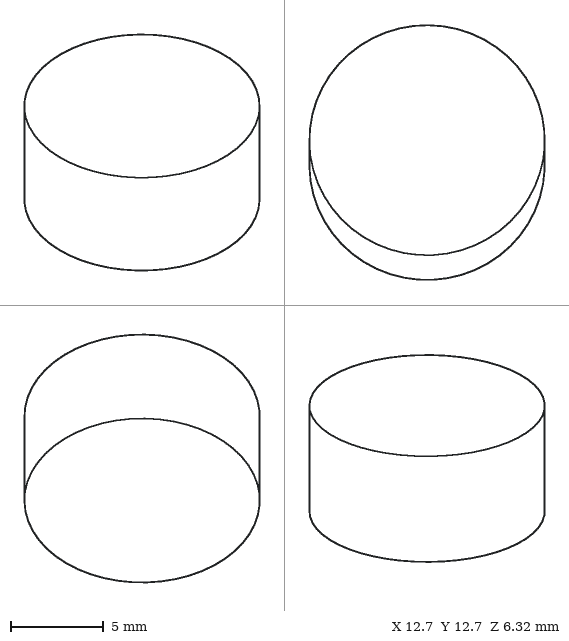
import cadquery as cq
import math

diameter = 12.7
edge_thickness = 6.32
dish_radius = 13.8

radius = diameter / 2
centre_above_rim = math.sqrt(dish_radius**2 - radius**2)


def lens_blank():
    """Plain disc standing on its flat face at Z = 0."""
    return cq.Workplane("XY").circle(radius).extrude(edge_thickness)


def dish_cutter():
    """Ball centred on the lens axis whose surface passes through the top rim."""
    centre_height = edge_thickness + centre_above_rim
    return cq.Workplane("XY").sphere(dish_radius).translate((0, 0, centre_height))


result = lens_blank().cut(dish_cutter())